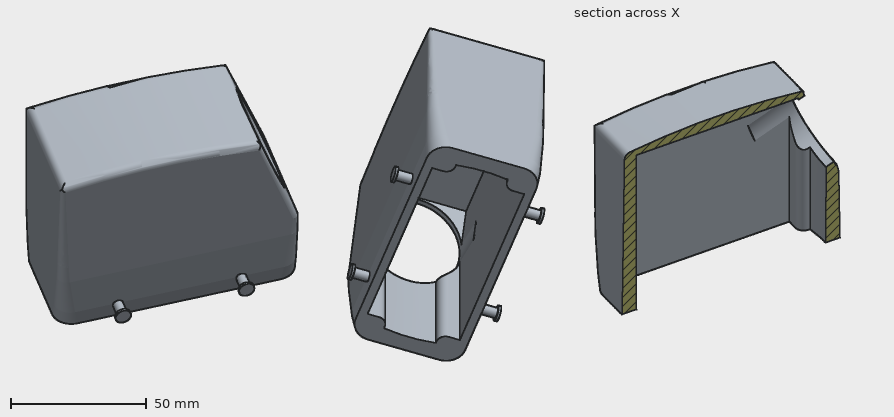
import cadquery as cq
import math

base_half_length = 46.65
shelf_z = 6.9
shoulder_z = 23.5
half_width_base = 21.4
half_width_shelf = 22.2
half_width = 22.7
front_top_y = -45.65

slope_foot_y = 46.1
slope_foot_z = 31.5
slope_top_y = 30.95
slope_foot_blend = 11.0

corner_base = (7.5, 7.5)
corner_shelf = (6.3, 6.3)
corner_shoulder = (4.0, 3.6)
corner_slope_foot = (3.4, 2.6)
corner_slope_top = (1.4, 1.4)

roof_crown_z = 75.83
roof_crown_y = -6.25
roof_radius = 282.0
roof_side_round = 2.8
roof_front_round = 3.0
roof_back_round = 1.6

entry_y = 38.1
entry_radius = 18.5
entry_depth = 20.0
recess_radius = 20.5
recess_depth = 0.3

cavity_half_width = 18.0
cavity_half_length = 35.5
cavity_wall = 3.0
bay_half_width = 10.1
bay_side_y = 39.7
bay_middle_y = 40.5
bay_mouth_round = 3.5

pin_y = 23.75
pin_z = 6.25
pin_tip_x = 29.0
pin_radius = 2.0
pin_head_radius = 3.0
pin_head_thickness = 1.0
pin_root_x = 20.0

crown_allowance = 4.0
stock_top_z = roof_crown_z + crown_allowance
side_margin = 1.0
envelope_drop = 20.0
envelope_sweep = 30.0


def roof_z(y):
    """Height of the crowned roof at y."""
    return roof_crown_z - roof_radius + math.sqrt(roof_radius**2 - (y - roof_crown_y)**2)


slope_top_z = roof_z(slope_top_y)


def along(z, z0, v0, z1, v1):
    """Value at height z on the straight line through (z0, v0) and (z1, v1)."""
    return v0 + (v1 - v0) * (z - z0) / (z1 - z0)


def front_y(z):
    """Front wall position at height z."""
    return along(z, 0, -base_half_length, roof_z(front_top_y), front_top_y)


def back_y(z):
    """Back wall position at height z, following the sloped face above its foot."""
    if z <= slope_foot_z:
        return along(z, 0, base_half_length, slope_foot_z, slope_foot_y)
    return slope_y(z)


def slope_y(z):
    """Position of the sloped face at height z."""
    return along(z, slope_foot_z, slope_foot_y, slope_top_z, slope_top_y)


def slope_z(y):
    """Height of the sloped face at y."""
    return along(y, slope_foot_y, slope_foot_z, slope_top_y, slope_top_z)


def section(z, half_x, corner_radii):
    """Closed rounded-rectangle wire of the housing at height z."""
    front_r, back_r = corner_radii
    y0 = front_y(z)
    y1 = back_y(z)
    return (
        cq.Workplane("XY", origin=(0, 0, z))
        .moveTo(front_r - half_x, y0)
        .lineTo(half_x - front_r, y0)
        .radiusArc((half_x, y0 + front_r), -front_r)
        .lineTo(half_x, y1 - back_r)
        .radiusArc((half_x - back_r, y1), -back_r)
        .lineTo(back_r - half_x, y1)
        .radiusArc((-half_x, y1 - back_r), -back_r)
        .lineTo(-half_x, y0 + front_r)
        .radiusArc((front_r - half_x, y0), -front_r)
        .close()
        .val()
    )


def tapered_stock():
    """Ruled stack of sections; the corner rounds tighten upward."""
    corner_stock_top = [
        along(stock_top_z, slope_foot_z, foot_r, slope_top_z, top_r)
        for foot_r, top_r in zip(corner_slope_foot, corner_slope_top)
    ]
    wires = [
        section(0, half_width_base, corner_base),
        section(shelf_z, half_width_shelf, corner_shelf),
        section(shoulder_z, half_width, corner_shoulder),
        section(slope_foot_z, half_width, corner_slope_foot),
        section(stock_top_z, half_width, corner_stock_top),
    ]
    return cq.Workplane(cq.Solid.makeLoft(wires, True))


def side_envelope():
    """Side profile with rounded roof ends and a blended slope foot, extruded along X."""
    roof_front = (front_top_y, roof_z(front_top_y))
    roof_back = (slope_top_y, slope_top_z)
    profile = (
        cq.Workplane("YZ")
        .moveTo(front_y(0), 0)
        .lineTo(back_y(0), 0)
        .lineTo(slope_foot_y, slope_foot_z)
        .lineTo(*roof_back)
        .threePointArc((roof_crown_y, roof_crown_z), roof_front)
        .close()
        .extrude(half_width + side_margin, both=True)
    )
    corner_rounds = [
        (slope_foot_y, slope_foot_z, slope_foot_blend),
        (*roof_back, roof_back_round),
        (*roof_front, roof_front_round),
    ]
    for y, z, radius in corner_rounds:
        profile = profile.edges(cq.NearestToPointSelector((0, y, z))).fillet(radius)
    return profile


def crowned_envelope():
    """Front outline with rounded shoulders, revolved about the X-parallel axis of the roof crown."""
    outline = (
        cq.Workplane("XZ", origin=(0, roof_crown_y, 0))
        .moveTo(-half_width, -envelope_drop)
        .lineTo(half_width, -envelope_drop)
        .lineTo(half_width, roof_crown_z - roof_side_round)
        .radiusArc((half_width - roof_side_round, roof_crown_z), -roof_side_round)
        .lineTo(roof_side_round - half_width, roof_crown_z)
        .radiusArc((-half_width, roof_crown_z - roof_side_round), -roof_side_round)
        .close()
    )
    axis_z = roof_crown_z - roof_radius
    swept = outline.revolve(envelope_sweep, (0, axis_z), (1, axis_z))
    return swept.rotate((-1, roof_crown_y, axis_z), (1, roof_crown_y, axis_z), -envelope_sweep / 2)


def slope_plane():
    """Plane on the sloped face at the cable entry, with its normal pointing outward."""
    run = slope_foot_y - slope_top_y
    rise = slope_top_z - slope_foot_z
    return cq.Plane(origin=(0, entry_y, slope_z(entry_y)), xDir=(-1, 0, 0), normal=(0, rise, run))


def cable_entry():
    """Shallow sealing recess with the round entry bore behind it."""
    recess = cq.Workplane(slope_plane()).circle(recess_radius).extrude(-recess_depth)
    bore = cq.Workplane(slope_plane()).circle(entry_radius).extrude(-entry_depth)
    return recess.union(bore)


def cavity_plan():
    """Cavity walls seen from below: a rectangle with a bowed bay at each end."""
    block = cq.Workplane("XY").rect(2 * cavity_half_width, 2 * cavity_half_length).extrude(stock_top_z)
    bays = (
        cq.Workplane("XY")
        .moveTo(-bay_half_width, -bay_side_y)
        .threePointArc((0, -bay_middle_y), (bay_half_width, -bay_side_y))
        .lineTo(bay_half_width, bay_side_y)
        .threePointArc((0, bay_middle_y), (-bay_half_width, bay_side_y))
        .close()
        .extrude(stock_top_z)
    )
    plan = block.union(bays)
    for y in (-cavity_half_length, cavity_half_length):
        for x in (-bay_half_width, bay_half_width):
            mouth = cq.NearestToPointSelector((x, y, stock_top_z / 2))
            plan = plan.edges(mouth).fillet(bay_mouth_round)
    return plan


def cavity():
    """Cavity plan, limited by a flat ceiling and by an even wall behind the sloped face."""
    rise = slope_top_z - slope_foot_z
    run = slope_foot_y - slope_top_y
    slope_inset = cavity_wall * math.hypot(rise, run) / rise
    ceiling_z = roof_z(-bay_middle_y) - cavity_wall
    limit = (
        cq.Workplane("YZ")
        .moveTo(-bay_middle_y, 0)
        .lineTo(slope_y(0) - slope_inset, 0)
        .lineTo(slope_y(ceiling_z) - slope_inset, ceiling_z)
        .lineTo(-bay_middle_y, ceiling_z)
        .close()
        .extrude(cavity_half_width, both=True)
    )
    return cavity_plan().intersect(limit)


def pin(y, side):
    """Headed locking pin on one side wall; side is -1 or 1 along X."""
    head_x = pin_tip_x - pin_head_thickness
    shank = cq.Workplane("YZ", origin=(side * pin_root_x, y, pin_z)).circle(pin_radius)
    head = cq.Workplane("YZ", origin=(side * head_x, y, pin_z)).circle(pin_head_radius)
    return shank.extrude(side * (head_x - pin_root_x)).union(head.extrude(side * pin_head_thickness))


result = tapered_stock().intersect(side_envelope()).intersect(crowned_envelope())
result = result.cut(cavity()).cut(cable_entry())
for pin_place in (-pin_y, pin_y):
    for wall_side in (-1, 1):
        result = result.union(pin(pin_place, wall_side))